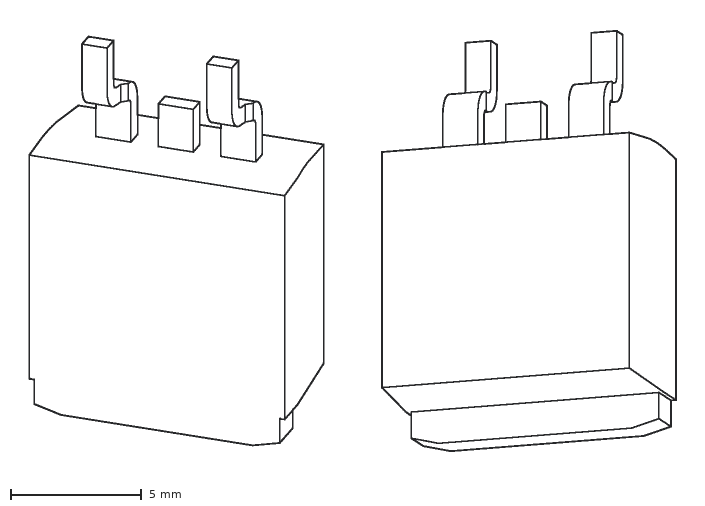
import cadquery as cq
import math


body_width = 10.41
body_depth = 4.83
body_bottom = 1.31
body_top = 10.95
straight_depth = 1.42
draft = 0.2
roof_drop = 0.19

tab_thickness = straight_depth
tab_top = 7.44
tab_top_half_width = 4.77
tab_neck_half_width = 4.28
tab_end_half_width = 5.01
tab_tip_half_width = 3.9
tab_tip_height = 0.28

window_width = 1.98
window_height = 1.09
window_offset = 1.69
window_bottom = 1.36

lead_thickness = 0.73
lead_width = 1.42
lead_front = 2.07
lead_back = lead_front + lead_thickness
lead_pitch = 2.55
lead_embed = 0.79
middle_lead_top = 12.75
lead_top = 15.8
lead_foot_width = 1.03
neck_start = 1.8
neck_end = 1.47
inner_bend_radius = 0.3
outer_bend_radius = inner_bend_radius + lead_thickness
lower_bend_height = 12.51
slope_angle = math.radians(10)


def make_body():
    """Side profile crossed with the drafted plan outline."""
    side = [
        (0, body_bottom),
        (straight_depth, body_bottom),
        (body_depth, body_bottom + draft),
        (body_depth, body_top - roof_drop),
        (lead_back, body_top),
        (lead_front, body_top),
        (0, body_top - roof_drop),
    ]
    half_width = body_width / 2
    back_half_width = half_width - draft
    plan = [
        (-half_width, 0),
        (half_width, 0),
        (half_width, straight_depth),
        (back_half_width, body_depth),
        (-back_half_width, body_depth),
        (-half_width, straight_depth),
    ]
    profile = cq.Workplane("YZ").polyline(side).close().extrude(half_width, both=True)
    return profile.intersect(cq.Workplane("XY").polyline(plan).close().extrude(body_top))


def make_tab():
    """Dovetailed plate with a wider, bevelled end below the body."""
    right_edge = [
        (tab_tip_half_width, 0),
        (tab_end_half_width, tab_tip_height),
        (tab_end_half_width, body_bottom),
        (tab_neck_half_width, body_bottom),
        (tab_top_half_width, tab_top),
    ]
    left_edge = [(-x, z) for x, z in reversed(right_edge)]
    plate = cq.Workplane("XZ").polyline(right_edge + left_edge).close().extrude(-tab_thickness)
    windows = (
        cq.Workplane("XZ")
        .pushPoints([(side * window_offset, window_bottom + window_height / 2) for side in (-1, 1)])
        .rect(window_width, window_height)
        .extrude(-tab_thickness)
    )
    return plate.cut(windows)


def make_middle_lead():
    """Straight stub, cut short above the body."""
    root = body_top - lead_embed
    return cq.Workplane("XY", origin=(0, lead_front, root)).box(
        lead_width, lead_thickness, middle_lead_top - root, centered=(True, False, False)
    )


def on_bend(center, radius, angle):
    """Point in the YZ plane on a bend, at an angle measured from +Y."""
    return (center[0] + radius * math.cos(angle), center[1] + radius * math.sin(angle))


def make_bent_lead(x_center):
    """Lead bent forward so that its foot lies flush with the mounting face."""
    lower_center = (lead_front - inner_bend_radius, lower_bend_height)
    upper_y = outer_bend_radius

    radius_sum = inner_bend_radius + outer_bend_radius
    run = lower_center[0] - upper_y + radius_sum * math.sin(slope_angle)
    rise = radius_sum * math.cos(slope_angle) + run * math.tan(slope_angle)
    upper_center = (upper_y, lower_bend_height + rise)

    lower_end = math.pi / 2 - slope_angle
    lower_mid = lower_end / 2
    upper_end = lower_end + math.pi
    upper_mid = lower_mid + math.pi
    root = body_top - lead_embed

    bent_strip = (
        cq.Workplane("YZ")
        .moveTo(lead_back, root)
        .lineTo(lead_back, lower_bend_height)
        .threePointArc(
            on_bend(lower_center, outer_bend_radius, lower_mid),
            on_bend(lower_center, outer_bend_radius, lower_end),
        )
        .lineTo(*on_bend(upper_center, inner_bend_radius, upper_end))
        .threePointArc(
            on_bend(upper_center, inner_bend_radius, upper_mid),
            on_bend(upper_center, inner_bend_radius, math.pi),
        )
        .lineTo(lead_thickness, lead_top)
        .lineTo(0, lead_top)
        .lineTo(0, upper_center[1])
        .threePointArc(
            on_bend(upper_center, outer_bend_radius, upper_mid),
            on_bend(upper_center, outer_bend_radius, upper_end),
        )
        .lineTo(*on_bend(lower_center, inner_bend_radius, lower_end))
        .threePointArc(
            on_bend(lower_center, inner_bend_radius, lower_mid),
            on_bend(lower_center, inner_bend_radius, 0),
        )
        .lineTo(lead_front, root)
        .close()
        .extrude(lead_width / 2, both=True)
    )

    right_edge = [
        (lead_foot_width / 2, 0),
        (lead_foot_width / 2, neck_end),
        (lead_width / 2, neck_start),
        (lead_width / 2, lead_back),
    ]
    left_edge = [(-x, y) for x, y in reversed(right_edge)]
    plan = cq.Workplane("XY").polyline(right_edge + left_edge).close().extrude(lead_top)
    return bent_strip.intersect(plan).translate((x_center, 0, 0))


tab = make_tab()
package = make_body().cut(tab).union(tab, clean=False)
package = package.union(make_middle_lead(), clean=False)
for x_center in (-lead_pitch, lead_pitch):
    package = package.union(make_bent_lead(x_center), clean=False)

result = package.solids()